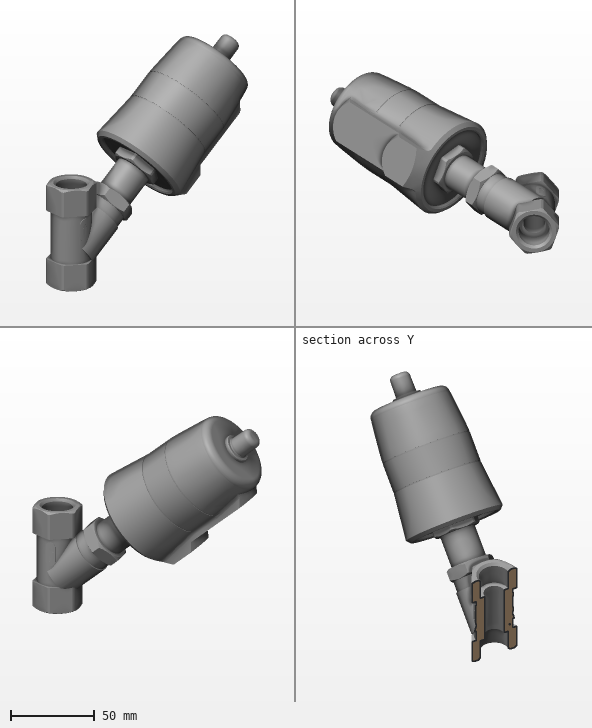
import cadquery as cq
import math


pipe_length = 65.0
pipe_d = 25.0
bore_d = 13.0
thread_d = 18.63
thread_depth = 15.0
thread_mouth_d = 21.6
hex_flats = 27.0
hex_round_d = 30.3
pipe_hex_length = 17.0
hex_chamfer_angle = 30.0
hex_face_d = 26.5

pad_width = 6.1
pad_length = 15.0
pad_center_z = 5.3
pad_height = 0.3
arrow_depth = 0.15
arrow_length = 9.0
arrow_head_length = 3.0
arrow_head_width = 4.2
arrow_shaft_width = 2.4

branch_tilt = 50.0
branch_origin_z = -12.2

branch_start = 2.4
branch_end = 28.5
union_hex_start = 35.3
union_hex_end = 43.4
stem_hex_start = 63.2
housing_start = 66.2
recess_floor = 68.8
band_start = 97.7
band_end = 116.6
housing_end = 148.3
collar_end = 150.3
pin_start = 150.9
pin_end = 164.05

branch_d = 27.6
branch_collar_d = 26.0
stem_d = 22.0

flare_d = 62.5
foot_d = 57.4
band_d = 55.7
cap_d = 50.3
cap_round = 4.5
waist_sag = 0.15
lean_bulge = 0.15
crown_bulge = 0.3
recess_d = 51.7
recess_mouth_d = 53.4
recess_mouth_depth = 0.8
groove_width = 0.8
groove_depth = 0.3

collar_d = 18.2
collar_chamfer = 0.5
pin_seat_d = 14.0
pin_base_d = 13.0
pin_top_d = 12.5
pin_round = 3.0

saddle_width = 26.0
saddle_blend = 3.4
rail_offset = 29.2
rail_end = 140.2
rail_round_center = 124.5
port_offset = 34.3
port_end = 95.5
port_round_center = 80.0
saddle_end_draft = 28.0
seam_margin = 0.1


def hexagon(start, end, chamfer_start, chamfer_end, trim_d):
    """Upright hexagon with flats facing +-Y, trimmed by a turned blank with chamfered ends."""
    corner_d = hex_flats / math.cos(math.radians(30))
    drop = (trim_d - hex_face_d) / 2 * math.tan(math.radians(hex_chamfer_angle))
    prism = cq.Workplane("XY").workplane(offset=start).polygon(6, corner_d).extrude(end - start)
    profile = cq.Workplane("XZ").moveTo(0, start)
    if chamfer_start:
        profile = profile.lineTo(hex_face_d / 2, start).lineTo(trim_d / 2, start + drop)
    else:
        profile = profile.lineTo(trim_d / 2, start)
    if chamfer_end:
        profile = profile.lineTo(trim_d / 2, end - drop).lineTo(hex_face_d / 2, end)
    else:
        profile = profile.lineTo(trim_d / 2, end)
    blank = profile.lineTo(0, end).close().revolve(360, (0, 0, 0), (0, 1, 0))
    return prism.intersect(blank)


def cylinder(diameter, start, end):
    return cq.Workplane("XY").workplane(offset=start).circle(diameter / 2).extrude(end - start)


def cone(start_d, end_d, start, end):
    solid = cq.Solid.makeCone(start_d / 2, end_d / 2, end - start, cq.Vector(0, 0, start))
    return cq.Workplane(obj=solid)


def make_pipe():
    half = pipe_length / 2
    pipe = cylinder(pipe_d, -half, half)
    pipe = pipe.union(hexagon(-half, -half + pipe_hex_length, True, False, hex_round_d))
    return pipe.union(hexagon(half - pipe_hex_length, half, False, True, hex_round_d))


def make_bore():
    half = pipe_length / 2
    mouth_depth = (thread_mouth_d - thread_d) / 2
    bore = cylinder(bore_d, -half, half)
    bore = bore.union(cylinder(thread_d, -half, -half + thread_depth))
    bore = bore.union(cylinder(thread_d, half - thread_depth, half))
    bore = bore.union(cone(thread_mouth_d, thread_d, -half, -half + mouth_depth))
    return bore.union(cone(thread_d, thread_mouth_d, half - mouth_depth, half))


def make_flow_pads():
    """Raised racetrack pads with a sunken arrow pointing up, one on each side of the pipe."""
    pad_d = pipe_d + 2 * pad_height
    side = cq.Workplane("YZ").center(0, pad_center_z)
    racetrack = side.slot2D(pad_length, pad_width, 90).extrude(pad_d / 2, both=True)
    tip = arrow_length / 2
    neck = tip - arrow_head_length
    arrow = (
        side.moveTo(0, tip)
        .lineTo(arrow_head_width / 2, neck)
        .lineTo(arrow_shaft_width / 2, neck)
        .lineTo(arrow_shaft_width / 2, -tip)
        .lineTo(-arrow_shaft_width / 2, -tip)
        .lineTo(-arrow_shaft_width / 2, neck)
        .lineTo(-arrow_head_width / 2, neck)
        .close()
        .extrude(pad_d / 2, both=True)
    )
    half = pipe_length / 2
    sunken = arrow.cut(cylinder(pad_d - 2 * arrow_depth, -half, half))
    return cylinder(pad_d, -half, half).intersect(racetrack).cut(sunken)


def make_stem():
    stem = cylinder(branch_d, branch_start, branch_end)
    stem = stem.union(cylinder(branch_collar_d, branch_end, union_hex_start))
    corner_d = hex_flats / math.cos(math.radians(30))
    stem = stem.union(hexagon(union_hex_start, union_hex_end, True, True, corner_d))
    stem = stem.union(cylinder(stem_d, union_hex_end, recess_floor))
    return stem.union(hexagon(stem_hex_start, recess_floor, True, False, hex_round_d))


def make_housing(bulge):
    """Turned housing: flared lower part, straight band, swelling crown and a rounded cap edge."""
    flare_r = flare_d / 2
    band_r = band_d / 2
    cap_r = cap_d / 2
    shoulder = housing_end - cap_round
    lower_middle = ((flare_r + band_r) / 2 - waist_sag, (housing_start + band_start) / 2)
    upper_middle = ((band_r + cap_r) / 2 + bulge, (band_end + shoulder) / 2)
    diagonal = cap_round * math.sqrt(0.5)
    edge_middle = (cap_r - cap_round + diagonal, shoulder + diagonal)
    return (
        cq.Workplane("YZ")
        .moveTo(0, housing_start)
        .lineTo(flare_r, housing_start)
        .threePointArc(lower_middle, (band_r, band_start))
        .lineTo(band_r, band_end)
        .threePointArc(upper_middle, (cap_r, shoulder))
        .threePointArc(edge_middle, (cap_r - cap_round, housing_end))
        .lineTo(0, housing_end)
        .close()
        .revolve(360, (0, 0, 0), (0, 1, 0))
    )


def saddle_block(offset, end, round_center):
    """Straight-sided block reaching out to `offset`, its upper end rounded and drafted."""
    outer_r = end - round_center
    inner_r = outer_r + offset * math.tan(math.radians(saddle_end_draft))
    outward = cq.Vector(0, 1, 0)
    round_end = cq.Solid.makeCone(inner_r, outer_r, offset, cq.Vector(0, 0, round_center), outward)
    top = cq.Workplane("XY").workplane(offset=round_center)
    top = top.center(0, offset / 2).rect(saddle_width, offset).extrude(inner_r)
    top = top.intersect(cq.Workplane(obj=round_end))
    foot = cq.Workplane("XY").workplane(offset=housing_start)
    foot = foot.center(0, offset / 2).rect(saddle_width, offset).extrude(round_center - housing_start)
    return foot.union(top)


def make_saddle():
    rail = saddle_block(rail_offset, rail_end, rail_round_center)
    return rail.union(saddle_block(port_offset, port_end, port_round_center))


def make_foot_limit():
    """Space above the 45 degree cone that chamfers the rim and the foot of the saddle."""
    reach = port_offset
    limit_d = foot_d + 2 * reach
    limit = cone(foot_d, limit_d, housing_start, housing_start + reach)
    return limit.union(cylinder(limit_d, housing_start + reach, housing_end))


def make_grooves():
    """Shallow grooves at both ends of the band, left out across the blended saddle."""
    center_r = band_d / 2 + saddle_blend
    blended_width = (saddle_width + 2 * saddle_blend) * band_d / 2 / center_r
    gap = cq.Workplane("XY").box(blended_width, flare_d, housing_end, centered=(True, False, False))
    grooves = cq.Workplane("XY")
    for height in (band_start, band_end):
        low = height - groove_width / 2
        high = height + groove_width / 2
        ring = cylinder(flare_d, low, high).cut(cylinder(band_d - 2 * groove_depth, low, high))
        grooves = grooves.add(ring.cut(gap))
    return grooves.combine()


def make_recess():
    mouth_end = housing_start + recess_mouth_depth
    mouth = cone(recess_mouth_d, recess_d, housing_start, mouth_end)
    return mouth.union(cylinder(recess_d, mouth_end, recess_floor))


def make_indicator():
    collar = cylinder(collar_d, housing_end, collar_end).faces(">Z").chamfer(collar_chamfer)
    seat = cone(pin_seat_d, pin_base_d, collar_end, pin_start)
    pin = cone(pin_base_d, pin_top_d, pin_start, pin_end).faces(">Z").edges().fillet(pin_round)
    return collar.union(seat).union(pin)


def saddle_seam_box(side):
    """Select the edges where one wall of the saddle meets the housing."""
    wall = side * saddle_width / 2
    low = (wall - seam_margin, rail_offset / 2, housing_start - seam_margin)
    high = (wall + seam_margin, rail_offset - seam_margin, housing_end)
    return cq.selectors.BoxSelector(low, high, boundingbox=True)


def make_actuator():
    housing = make_housing(lean_bulge).union(make_saddle())
    housing = housing.edges(saddle_seam_box(-1) + saddle_seam_box(1)).fillet(saddle_blend)
    housing = housing.union(make_housing(crown_bulge))
    housing = housing.intersect(make_foot_limit())
    housing = housing.cut(make_grooves()).cut(make_recess())
    return housing.union(make_indicator()).union(make_stem())


branch = make_actuator().rotate((0, 0, 0), (1, 0, 0), -branch_tilt).translate((0, 0, branch_origin_z))
result = make_pipe().union(make_flow_pads()).union(branch).cut(make_bore())